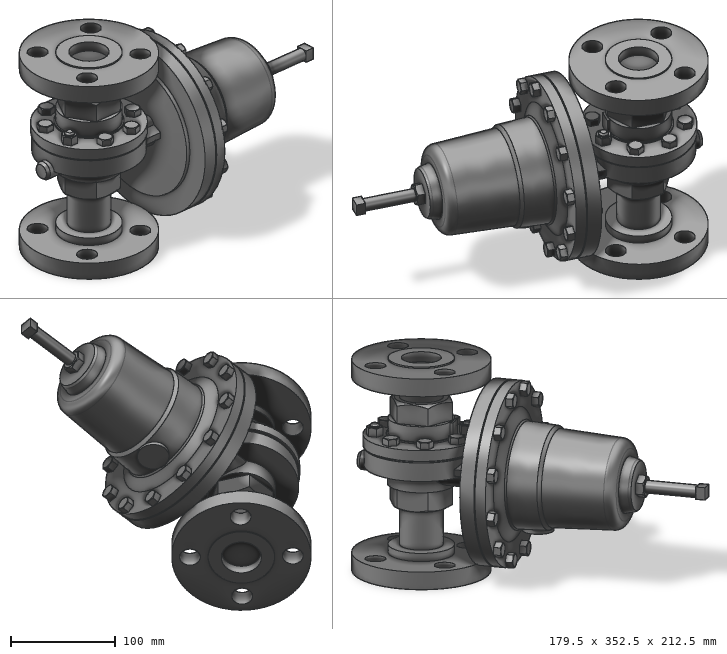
import cadquery as cq
import math

actuator_z = -1.0

overall_length = 352.5

overall_height = 212.5
half_height = overall_height / 2
flange_diameter = 133.0
flange_radius = flange_diameter / 2
flange_thickness = 17.5
raised_face_radius = 31.7
raised_face_height = 1.5
hub_height = 8.0
pipe_diameter = 42.0
pipe_radius = pipe_diameter / 2
bore_radius = 19.0
bore_depth = 10.0
flange_bolt_circle_radius = 49.0
flange_hole_radius = 10.0

union_flats = 54.3
upper_union_top = 67.3
collar_radius = 31.7
collar_top = 47.0
collar_ring_radius = 33.5
collar_ring_height = 1.5
bonnet_top = 30.3
bonnet_bottom = 19.5
bonnet_radius = 55.7
gasket_radius = 54.0
body_top = 17.5
body_bottom = -0.7
body_radius = 54.5
boss_radius = 32.5
boss_bottom = -18.7
lower_union_bottom = -40.2

pad_width = 14.0
pad_back = 34.0
pad_top = 46.0

bonnet_bolt_count = 8
bonnet_bolt_circle_radius = 44.5
bonnet_head_flats = 14.0
bonnet_head_height = 6.7
nut_flats = 14.0
nut_height = 8.8
stud_radius = 5.0
stud_height = 11.5
stud_chamfer = 1.8
nut_positions = (2, 6)

plug_diameter = 18.7
plug_radius = plug_diameter / 2
plug_front = -62.0
plug_chamfer_length = 3.0
plug_chamfer_width = 2.0

arm_start = 17.5
arm_end = 63.5
tube_half_width = 26.0
tube_half_height = 15.5
web_bottom = 1.8
web_half_width = 33.0
web_edge_top = 8.0
shoulder_half_width = 24.0
shoulder_z = 13.0
shoulder_arc_half_width = 21.5
shoulder_arc_z = 17.3
web_top_half_width = 17.0
web_top = 19.7

case_diameter = 179.5
case_radius = case_diameter / 2
case_front = 67.5
case_seam = 81.8
case_seam_width = 1.0
case_seam_depth = 0.5
case_back = 93.5
dome_radius = 68.5
dome_edge = 63.5
dome_front = 61.5
dome_tip_radius = 10.5

shoulder_radius = 65.0
neck_radius = 53.2
neck_start = 100.5
skirt_start = 102.2
skirt_start_radius = 51.8
skirt_end = 132.0
skirt_end_radius = 50.5
barrel_start = 135.7
barrel_start_radius = 47.5
barrel_end = 197.0
barrel_end_radius = 44.5
crown_round = 9.5
barrel_top = barrel_end + crown_round
cap_radius = 27.5
cap_chamfer_start = 215.5
cap_shoulder_radius = 25.5
cap_top = 217.8
cap_top_radius = 24.0

case_bolt_count = 12
case_bolt_circle_radius = 82.0
case_head_flats = 13.0
case_head_height = 7.5

vent_y = 117.0
vent_radius = 15.0
vent_reach = 53.2

lock_nut_flats = 19.0
lock_nut_height = 8.0
screw_diameter = 12.5
screw_radius = screw_diameter / 2
screw_end = overall_length - flange_radius
square_length = 9.0

hexagon_face_ratio = 0.95

overlap = 0.7


def cylinder(radius, low, high):
    """Round bar on the Z axis between two heights."""
    return cq.Workplane("XY").workplane(offset=low).circle(radius).extrude(high - low)


def along_y(solid):
    """Turn a solid built along +Z so that it points along +Y on the actuator axis."""
    return solid.rotate((0, 0, 0), (1, 0, 0), -90).translate((0, 0, actuator_z))


def hexagon(flats, height, corner_angle):
    """Hexagon on the XY plane with a 30 degree turned chamfer on its upper end."""
    corner_radius = flats / 2 / math.cos(math.radians(30))
    top_radius = hexagon_face_ratio * flats / 2
    drop = (corner_radius - top_radius) * math.tan(math.radians(30))
    prism = cq.Workplane("XY").polygon(6, 2 * corner_radius).extrude(height)
    prism = prism.rotate((0, 0, 0), (0, 0, 1), corner_angle)
    envelope = (
        cq.Workplane("XZ")
        .moveTo(0, 0)
        .lineTo(corner_radius, 0)
        .lineTo(corner_radius, height - drop)
        .lineTo(top_radius, height)
        .lineTo(0, height)
        .close()
        .revolve(360, (0, 0, 0), (0, 1, 0))
    )
    return prism.intersect(envelope)


def on_circle(radius, angle):
    """Point at a polar angle in degrees."""
    return radius * math.cos(math.radians(angle)), radius * math.sin(math.radians(angle))


def pipe_flange():
    """Upper pipe flange with its hub, raised face, blind bore and four holes."""
    flange_top = half_height - raised_face_height
    flange_bottom = flange_top - flange_thickness
    flange = cylinder(flange_radius, flange_bottom, flange_top)
    flange = flange.union(cylinder(raised_face_radius, flange_bottom - hub_height, half_height))
    for angle in (45, 135, 225, 315):
        x, y = on_circle(flange_bolt_circle_radius, angle)
        flange = flange.cut(cylinder(flange_hole_radius, flange_bottom, flange_top).translate((x, y, 0)))
    return flange.cut(cylinder(bore_radius, half_height - bore_depth, half_height))


def valve_body():
    """Pipe, union hexagons, bonnet and round body stacked on the Z axis."""
    pipe_end = half_height - raised_face_height - flange_thickness
    body = cylinder(pipe_radius, -pipe_end, pipe_end)
    upper_union = hexagon(union_flats, upper_union_top - collar_top + overlap, 90)
    body = body.union(upper_union.translate((0, 0, collar_top - overlap)))
    lower_union = hexagon(union_flats, boss_bottom - lower_union_bottom + overlap, 90)
    lower_union = lower_union.rotate((0, 0, 0), (1, 0, 0), 180)
    body = body.union(lower_union.translate((0, 0, boss_bottom + overlap)))
    body = body.union(cylinder(bonnet_radius, bonnet_bottom, bonnet_top))
    body = body.union(cylinder(collar_radius, body_top, collar_top))
    body = body.union(cylinder(collar_ring_radius, bonnet_bottom, bonnet_top + collar_ring_height))
    body = body.union(cylinder(gasket_radius, body_bottom, bonnet_top))
    body = body.union(cylinder(body_radius, body_bottom, body_top))
    body = body.union(cylinder(boss_radius, boss_bottom, body_top))
    pad = cq.Workplane("XY").box(pad_width, pad_back, pad_top - bonnet_bottom, (True, False, False))
    return body.union(pad.translate((0, 0, bonnet_bottom)))


def bonnet_fasteners():
    """Ring of bolt heads and stud nuts standing on the bonnet."""
    pitch = 360 / bonnet_bolt_count
    fasteners = cq.Workplane("XY")
    for index in range(bonnet_bolt_count):
        angle = (index + 0.5) * pitch
        if index in nut_positions:
            fastener = hexagon(nut_flats, nut_height + overlap, 90)
            stud = cylinder(stud_radius, 0, stud_height + overlap).faces(">Z").chamfer(stud_chamfer)
            fastener = fastener.union(stud)
        else:
            fastener = hexagon(bonnet_head_flats, bonnet_head_height + overlap, angle + pitch / 2)
        x, y = on_circle(bonnet_bolt_circle_radius, angle)
        fasteners = fasteners.union(fastener.translate((x, y, bonnet_top - overlap)))
    return fasteners


def front_plug():
    """Round plug with a chamfered end on the front of the body."""
    plug = cylinder(plug_radius, 0, -plug_front)
    plug = plug.faces(">Z").edges().chamfer(plug_chamfer_length, plug_chamfer_width)
    return plug.rotate((0, 0, 0), (1, 0, 0), 90).translate((0, 0, actuator_z))


def arm():
    """Oval tube from the body to the actuator, under a wide round-shouldered web."""
    length = arm_end - arm_start
    tube = cq.Workplane("XZ").ellipse(tube_half_width, tube_half_height).extrude(-length)
    tube = tube.translate((0, arm_start, actuator_z))
    web = (
        cq.Workplane("XZ")
        .moveTo(-web_half_width, web_bottom)
        .lineTo(web_half_width, web_bottom)
        .lineTo(web_half_width, web_edge_top)
        .lineTo(shoulder_half_width, shoulder_z)
        .threePointArc((shoulder_arc_half_width, shoulder_arc_z), (web_top_half_width, web_top))
        .lineTo(-web_top_half_width, web_top)
        .threePointArc((-shoulder_arc_half_width, shoulder_arc_z), (-shoulder_half_width, shoulder_z))
        .lineTo(-web_half_width, web_edge_top)
        .close()
        .extrude(-length)
        .translate((0, arm_start, 0))
    )
    return tube.union(web)


def actuator():
    """Diaphragm case and spring housing turned about the actuator axis."""
    seam_radius = case_radius - case_seam_depth
    crown_radius = barrel_end_radius - crown_round
    arc_mid = crown_round * math.sin(math.radians(45))
    profile = (
        cq.Workplane("XY")
        .moveTo(0, dome_front)
        .lineTo(dome_tip_radius, dome_front)
        .lineTo(dome_radius, dome_edge)
        .lineTo(dome_radius, case_front)
        .lineTo(case_radius, case_front)
        .lineTo(case_radius, case_seam)
        .lineTo(seam_radius, case_seam)
        .lineTo(seam_radius, case_seam + case_seam_width)
        .lineTo(case_radius, case_seam + case_seam_width)
        .lineTo(case_radius, case_back)
        .lineTo(shoulder_radius, case_back)
        .lineTo(neck_radius, neck_start)
        .lineTo(skirt_start_radius, skirt_start)
        .lineTo(skirt_end_radius, skirt_end)
        .lineTo(barrel_start_radius, barrel_start)
        .lineTo(barrel_end_radius, barrel_end)
        .threePointArc((crown_radius + arc_mid, barrel_end + arc_mid), (crown_radius, barrel_top))
        .lineTo(cap_radius, barrel_top)
        .lineTo(cap_shoulder_radius, cap_chamfer_start)
        .lineTo(cap_top_radius, cap_top)
        .lineTo(0, cap_top)
        .close()
    )
    housing = profile.revolve(360, (0, 0, 0), (0, 1, 0)).translate((0, 0, actuator_z))
    vent = cylinder(vent_radius, -vent_reach, 0).translate((0, vent_y, actuator_z))
    return housing.union(vent)


def case_bolts():
    """Ring of hexagon heads on the back of the diaphragm case."""
    pitch = 360 / case_bolt_count
    heads = cq.Workplane("XY")
    for index in range(case_bolt_count):
        angle = (index + 0.5) * pitch
        head = hexagon(case_head_flats, case_head_height + overlap, angle - pitch / 2)
        x, y = on_circle(case_bolt_circle_radius, angle)
        heads = heads.union(head.translate((x, y, case_back - overlap)))
    return along_y(heads)


def adjusting_screw():
    """Lock nut and long screw with a square end."""
    lock_nut = hexagon(lock_nut_flats, lock_nut_height + overlap, 90).translate((0, 0, cap_top - overlap))
    screw = cylinder(screw_radius, cap_top - overlap, screw_end - square_length)
    square = cq.Workplane("XY").rect(screw_diameter, screw_diameter).extrude(square_length)
    square = square.translate((0, 0, screw_end - square_length))
    return along_y(lock_nut.union(screw).union(square))


upper_flange = pipe_flange()
result = valve_body().union(upper_flange).union(upper_flange.mirror("XY"))
result = result.union(bonnet_fasteners()).union(front_plug()).union(arm())
result = result.union(actuator()).union(case_bolts()).union(adjusting_screw())